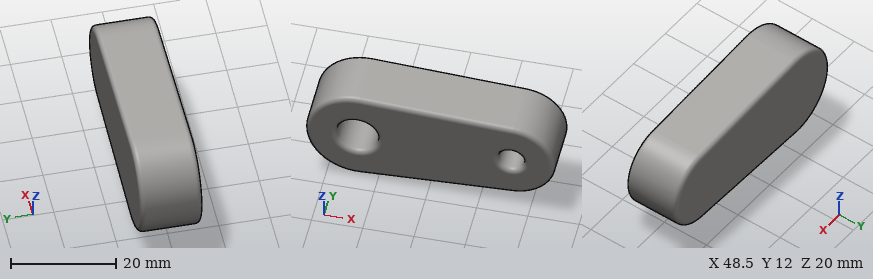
import cadquery as cq
import math

thickness = 12.0
large_end_radius = 10.0
small_end_radius = 8.5
center_distance = 30.0
large_hole_diameter = 8.2
small_hole_diameter = 5.1
edge_radius = 1.0
hole_depth = 10.0

large_center_x = (large_end_radius - small_end_radius - center_distance) / 2
small_center_x = large_center_x + center_distance
front_y = -thickness / 2

tangent_cos = (large_end_radius - small_end_radius) / center_distance
tangent_sin = math.sqrt(1 - tangent_cos**2)


def make_body():
    """Tapered link with tangent sides and rounded front and back rims."""
    large_x = large_center_x + large_end_radius * tangent_cos
    large_z = large_end_radius * tangent_sin
    small_x = small_center_x + small_end_radius * tangent_cos
    small_z = small_end_radius * tangent_sin
    body = (
        cq.Workplane("XZ", origin=(0, front_y, 0))
        .moveTo(large_x, large_z)
        .lineTo(small_x, small_z)
        .threePointArc((small_center_x + small_end_radius, 0), (small_x, -small_z))
        .lineTo(large_x, -large_z)
        .threePointArc((large_center_x - large_end_radius, 0), (large_x, large_z))
        .close()
        .extrude(-thickness)
    )
    return body.faces("<Y or >Y").edges().fillet(edge_radius)


def make_hole(center_x, diameter):
    """Cutter for a blind hole whose mouth flares out with a convex round."""
    radius = diameter / 2
    mouth_radius = radius + edge_radius
    arc_offset = edge_radius * (1 - math.sqrt(0.5))
    profile = (
        cq.Workplane("XY")
        .lineTo(mouth_radius, 0)
        .threePointArc((radius + arc_offset, arc_offset), (radius, edge_radius))
        .lineTo(radius, hole_depth)
        .lineTo(0, hole_depth)
        .close()
    )
    cutter = profile.revolve(360, (0, 0, 0), (0, 1, 0))
    return cutter.translate((center_x, front_y, 0))


result = make_body()
for hole_x, hole_diameter in (
    (large_center_x, large_hole_diameter),
    (small_center_x, small_hole_diameter),
):
    result = result.cut(make_hole(hole_x, hole_diameter))